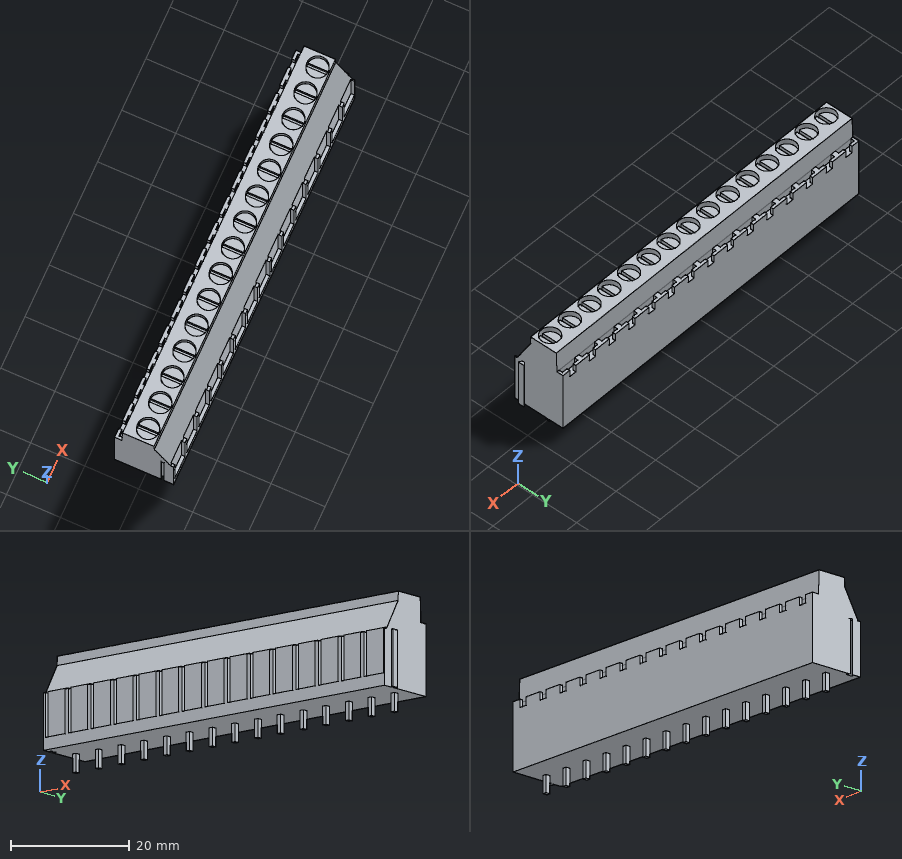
import cadquery as cq

pole_count = 15
total_length = 75.65
rib_depth = 0.6
body_length = total_length - rib_depth
pitch = body_length / pole_count
body_depth = 11.0
pin_length = 3.25
total_height = 20.3
body_height = total_height - pin_length

front_ledge_height = 10.0
front_ledge_depth = 0.5
brow_height = body_height - 1.7
brow_setback = 3.6
brow_draft = 0.05
rear_shelf_height = body_height - 4.4
rear_shelf_depth = 1.35
top_rear_setback = 1.5

panel_width = 4.2
panel_offset = 0.11
panel_floor = 2.2
panel_depth = 0.7

screw_diameter = 3.9
screw_y = 5.8
screw_sink = 1.1
screw_slot_width = 0.6
screw_slot_depth = 0.75

notch_width = 3.9
notch_wall = 0.6
notch_mouth_width = 1.5
notch_depth = 1.5

pin_width = 0.75
pin_thickness = 0.9
pin_y = 5.6

dovetail_y = 2.05
dovetail_root = 0.45
dovetail_tip = 1.2
dovetail_flare = 0.4

pole_centers = [(index + 0.5) * pitch for index in range(pole_count)]


def block(x_center, x_size, y_range, z_range):
    """Box centered on x_center that spans the given Y and Z ranges."""
    y_low, y_high = y_range
    z_low, z_high = z_range
    box = cq.Workplane("XY").box(x_size, y_high - y_low, z_high - z_low, centered=(True, False, False))
    return box.translate((x_center, y_low, z_low))


def housing():
    """Stepped cross-section extruded along the full row of poles."""
    return (
        cq.Workplane("YZ")
        .moveTo(0, 0)
        .lineTo(body_depth, 0)
        .lineTo(body_depth, rear_shelf_height)
        .lineTo(body_depth - rear_shelf_depth, rear_shelf_height)
        .lineTo(body_depth - top_rear_setback, body_height)
        .lineTo(brow_setback, body_height)
        .lineTo(brow_setback - brow_draft, brow_height)
        .lineTo(front_ledge_depth, front_ledge_height)
        .lineTo(0, front_ledge_height)
        .close()
        .extrude(body_length)
    )


def dovetail(x_root):
    """Dovetail prism flaring towards +X into a straight-sided head, as tall as the front ledge."""
    x_shoulder = x_root + dovetail_flare
    x_tip = x_root + rib_depth
    return (
        cq.Workplane("XY")
        .moveTo(x_root, dovetail_y - dovetail_root / 2)
        .lineTo(x_shoulder, dovetail_y - dovetail_tip / 2)
        .lineTo(x_tip, dovetail_y - dovetail_tip / 2)
        .lineTo(x_tip, dovetail_y + dovetail_tip / 2)
        .lineTo(x_shoulder, dovetail_y + dovetail_tip / 2)
        .lineTo(x_root, dovetail_y + dovetail_root / 2)
        .close()
        .extrude(front_ledge_height)
    )


def front_panel(x_center):
    """Cutter for one front recess, open upwards through the slope."""
    return block(x_center + panel_offset, panel_width, (0, panel_depth), (panel_floor, brow_height))


def screw_disc(x_center, floor, height):
    """Upright disc of the screw's diameter standing on the given floor level."""
    disc = cq.Workplane("XY").circle(screw_diameter / 2).extrude(height)
    return disc.translate((x_center, screw_y, floor))


def screw_recess(x_center):
    """Cutter for one round screw well and the driver slot across the screw head."""
    radius = screw_diameter / 2
    head_top = body_height - screw_sink
    slot_floor = head_top - screw_slot_depth
    well = screw_disc(x_center, head_top, screw_sink)
    disc = screw_disc(x_center, slot_floor, screw_slot_depth)
    bar = block(x_center, screw_slot_width, (screw_y - radius, screw_y + radius), (slot_floor, head_top))
    return well.union(bar.intersect(disc))


def shelf_notch(x_center):
    """Cutter for one T-shaped notch, with its stem open at the rear face."""
    z_range = (rear_shelf_height - notch_depth, rear_shelf_height)
    y_front = body_depth - rear_shelf_depth
    y_wall = body_depth - notch_wall
    bar = block(x_center, notch_width, (y_front, y_wall), z_range)
    stem = block(x_center, notch_mouth_width, (y_front, body_depth), z_range)
    return bar.union(stem)


def solder_pin(x_center):
    """One pin hanging below the housing."""
    y_range = (pin_y - pin_thickness / 2, pin_y + pin_thickness / 2)
    return block(x_center, pin_width, y_range, (-pin_length, 0))


result = housing().union(dovetail(body_length)).cut(dovetail(0))
for center in pole_centers:
    for cutter in (front_panel(center), screw_recess(center), shelf_notch(center)):
        result = result.cut(cutter)
    result = result.union(solder_pin(center))